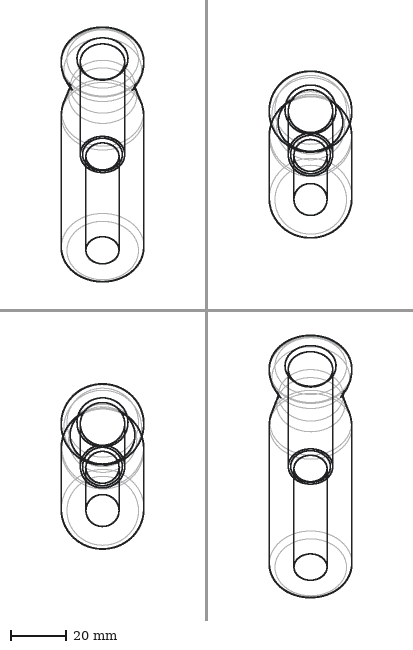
import cadquery as cq
import math

length = 120.0
body_radius = 15.0
edge_fillet = 2.0

rim_depth = 2.6
neck_depth = 17.4
shoulder_depth = 35.9
upper_neck_radius = 25.0
lower_neck_radius = 26.0
blend_radius = 10.0
cone_angle = math.radians(12.4)

mouth_radius = 9.2
socket_radius = 8.0
mouth_angle = math.radians(30)
socket_depth = 60.0
countersink_radius = 7.2
bore_radius = 6.0

rim_z = length - rim_depth
neck_z = length - neck_depth
shoulder_z = length - shoulder_depth

flare_angle = math.asin((rim_z - neck_z) / (upper_neck_radius + blend_radius))
neck_radius = body_radius - (upper_neck_radius + blend_radius) * (1 - math.cos(flare_angle))


def neck_point(angle, curve_radius, side):
    """Point on a hollow neck arc, above (side=1) or below (side=-1) the narrowest section."""
    radius = neck_radius + curve_radius * (1 - math.cos(angle))
    return radius, neck_z + side * curve_radius * math.sin(angle)


def blend_point(angle, start_z, side):
    """Point on a rounded arc leaving the full body radius at start_z, going up or down."""
    radius = body_radius - blend_radius * (1 - math.cos(angle))
    return radius, start_z + side * blend_radius * math.sin(angle)


def make_body():
    profile = (
        cq.Workplane("XZ")
        .lineTo(body_radius, 0)
        .lineTo(body_radius, shoulder_z)
        .threePointArc(
            blend_point(cone_angle / 2, shoulder_z, 1),
            blend_point(cone_angle, shoulder_z, 1),
        )
        .lineTo(*neck_point(cone_angle, lower_neck_radius, -1))
        .threePointArc(
            neck_point(cone_angle / 2, lower_neck_radius, -1),
            (neck_radius, neck_z),
        )
        .threePointArc(
            neck_point(flare_angle / 2, upper_neck_radius, 1),
            neck_point(flare_angle, upper_neck_radius, 1),
        )
        .threePointArc(blend_point(flare_angle / 2, rim_z, -1), (body_radius, rim_z))
        .lineTo(body_radius, length)
        .lineTo(0, length)
        .close()
    )
    body = profile.revolve(360, (0, 0), (0, 1))
    return body.faces("<Z or >Z").edges().fillet(edge_fillet)


def make_bore():
    """Conical mouth, cylindrical socket with a flat floor, then a countersunk through hole."""
    floor_z = length - socket_depth
    countersink_depth = countersink_radius - bore_radius
    mouth_depth = (mouth_radius - socket_radius) / math.tan(mouth_angle)
    profile = (
        cq.Workplane("XZ")
        .lineTo(bore_radius, 0)
        .lineTo(bore_radius, floor_z - countersink_depth)
        .lineTo(countersink_radius, floor_z)
        .lineTo(socket_radius, floor_z)
        .lineTo(socket_radius, length - mouth_depth)
        .lineTo(mouth_radius, length)
        .lineTo(0, length)
        .close()
    )
    return profile.revolve(360, (0, 0), (0, 1))


result = make_body().cut(make_bore())